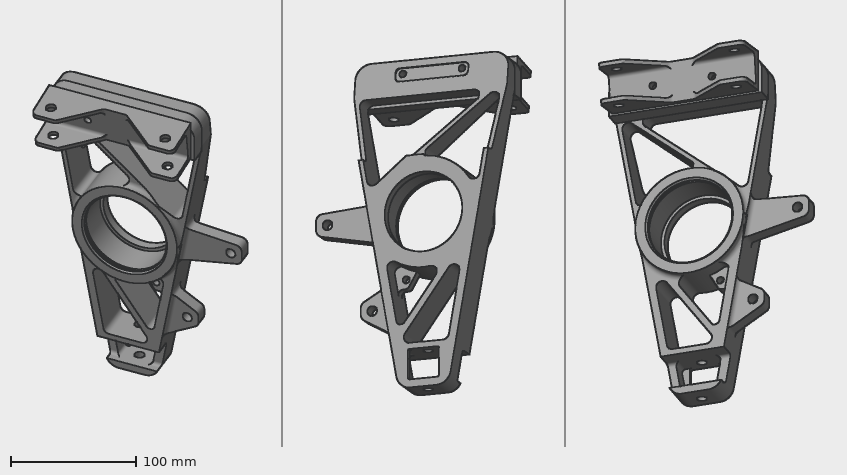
import cadquery as cq
import math


top_z = 132.5
bottom_z = -144.5
shoulder_z = 103.8
shoulder_half = 65.2
taper = math.radians(10)
upper_depth = 34.0
lower_depth = 33.0
head_radius = 13.5
foot_radius = 12.0
fillet = 4.0

ledge_z = 47.5
ledge_depth = 7.5
top_setback = 21.0

ring_radius = 92.0 / 2
ring_depth = 40.0
bore_radius = 72.0 / 2
groove_radius = 75.0 / 2
groove_front = 37.5
groove_back = 34.5
shoulder_bore_radius = 66.0 / 2
shoulder_thickness = 8.0

upper_wall = 4.0
lower_left_wall = 7.0
lower_right_wall = 8.0
upper_web_angle = math.radians(39.5)
upper_web = 4.0
upper_opening_top = 101.5
corner_radius = 5.0
lower_web_angle = math.radians(54)
lower_web = 6.0
lower_web_x = 15.7
lower_web_z = -99.5
lower_opening_bottom = -107.7

recess_top = -112.7
recess_bottom = -138.0
leg_depth = 17.3
lip_depth = 25.7
recess_radius = 3.0
back_plate = 4.0
window_half = 13.1
window_radius = 1.5
foot_hole_diameter = 8.0
foot_hole_y = -11.0

ear_front = 29.6
ear_back = 18.0
ear_hole_diameter = 8.0
ear_corner_radius = 6.0
ear_overlap = 2.8
upper_ear_x = 98.2
upper_ear_tip = (11.0, -6.5)
upper_ear_root = (14.5, -17.5)
upper_ear_hole = (88.5, 1.7)
lower_ear_x = 60.0
lower_ear_tip = (-66.5, -78.5)
lower_ear_root = (-53.7, -96.0)
lower_ear_hole = (50.3, -73.0)
tab_front = 25.7
tab_thickness = 8.0
tab_bottom = -58.0
tab_root_radius = 4.0
tab_hole_diameter = 6.0
tab_hole_x = 21.3
tab_hole_z = -50.0
tab_left_x = 19.9
tab_slant = math.radians(60)
tab_height = 22.5

spacer_thickness = 14.3
spacer_bottom = 98.7
mount_depth = upper_depth + spacer_thickness
bracket_top = 135.0
bracket_height = 34.0
bracket_half = 62.0
tilt = 8.5
arm_length = 35.5
arm_thickness = 3.5
web_thickness = 9.8
bracket_radius = 3.0
arm_corner_radius = 5.0
notch_inner_half = 9.8
notch_outer_half = 40.8
arm_hole_diameter = 8.0
arm_hole_x = 50.0
arm_hole_reach = 23.5
screw_diameter = 6.0
screw_x = 25.2
screw_drop = 17.5
slot_drop = 18.7
slot_half = 31.0
slot_height = 11.7
slot_floor = 25.5


def prism(points, front, back=0.0):
    """Solid over an XZ outline, from depth `back` to depth `front` (depth is -Y)."""
    return cq.Workplane("XZ", origin=(0, -back, 0)).polyline(points).close().extrude(front - back)


def block(x_half, front, back, z_low, z_high):
    """Box centred on X = 0 between two depths."""
    return prism([(-x_half, z_low), (x_half, z_low), (x_half, z_high), (-x_half, z_high)], front, back)


def rod(x, z, radius, front, back=0.0):
    """Cylinder along Y between two depths."""
    return cq.Workplane("XZ", origin=(0, -back, 0)).center(x, z).circle(radius).extrude(front - back)


def half_width(z):
    """Half width of the tapered part of the upright."""
    return shoulder_half - (shoulder_z - z) * math.tan(taper)


def wall_web_corner(side, wall, angle, web_x, web_z):
    """Where a side wall's inner face meets a web edge that falls to the right through (web_x, web_z)."""
    fall = math.tan(angle)
    inner_x = side * (half_width(0) - wall)
    lean = side * math.tan(taper)
    z = (web_z - fall * (inner_x - web_x)) / (1 + fall * lean)
    return (inner_x + lean * z, z)


def upright_outline(depth):
    """Plain slab with the whole outer outline of the upright."""
    body = prism(
        [
            (-half_width(bottom_z), bottom_z),
            (half_width(bottom_z), bottom_z),
            (shoulder_half, shoulder_z),
            (shoulder_half, top_z),
            (-shoulder_half, top_z),
            (-shoulder_half, shoulder_z),
        ],
        depth,
    )
    body = body.edges("|Y and >Z").fillet(head_radius)
    return body.edges("|Y and <Z").fillet(foot_radius)


def add_ear(body, end_x, tip, root, hole):
    """Flat lug on the +X side with a filleted root; tip and root each hold a top and a bottom Z."""
    top_root_x = half_width(root[0])
    low_root_x = half_width(root[1])
    ear = prism(
        [
            (top_root_x - ear_overlap, root[0]),
            (top_root_x, root[0]),
            (end_x, tip[0]),
            (end_x, tip[1]),
            (low_root_x, root[1]),
            (low_root_x - ear_overlap, root[1]),
        ],
        ear_front,
        ear_back,
    )
    ear = ear.edges("|Y and >X").fillet(ear_corner_radius)
    body = body.union(ear)
    tolerance = 0.03

    def at_root(edge):
        middle = edge.Center()
        on_side = abs(middle.x - half_width(middle.z)) < tolerance
        within_height = root[1] - tolerance < middle.z < root[0] + tolerance
        within_depth = ear_back - tolerance < -middle.y < ear_front + tolerance
        return on_side and within_height and within_depth

    root_edges = [edge for edge in body.edges().vals() if at_root(edge)]
    body = body.newObject(root_edges).fillet(fillet)
    return body.cut(rod(*hole, ear_hole_diameter / 2, ear_front, ear_back))


def rear_slope():
    """Material removed behind the part above the ledge."""
    beyond = 14
    return (
        cq.Workplane("YZ", origin=(-shoulder_half, 0, 0))
        .polyline([(beyond, ledge_z), (-ledge_depth, ledge_z), (-top_setback, top_z), (beyond, top_z)])
        .close()
        .extrude(2 * shoulder_half)
        .edges(cq.NearestToPointSelector((0, -ledge_depth, ledge_z)))
        .fillet(fillet)
    )


def foot_recess():
    """Front cut-back that leaves the clevis legs and the bottom lip."""
    recess = block(shoulder_half, upper_depth, leg_depth, recess_bottom, recess_top)
    recess = recess.edges("|X and >Y").fillet(recess_radius)
    return recess.union(block(shoulder_half, upper_depth, lip_depth, bottom_z, recess_bottom))


def foot_pocket():
    """Tapered pocket between the legs, with a window through its back plate."""
    low = half_width(recess_bottom)
    high = half_width(recess_top)
    outline = [
        (lower_left_wall - low, recess_bottom),
        (low - lower_right_wall, recess_bottom),
        (high - lower_right_wall, recess_top),
        (lower_left_wall - high, recess_top),
    ]
    pocket = prism(outline, upper_depth, back_plate).edges("|Y").fillet(recess_radius)
    window = block(window_half, upper_depth, 0, recess_bottom, recess_top)
    return pocket.union(window.edges("|Y").fillet(window_radius))


def ring_fillet(depth, z_low, z_high):
    """Concave blend between the ring and one front face of the upright."""
    blend = rod(0, 0, ring_radius + fillet, depth + fillet, depth)
    torus = cq.Workplane(cq.Solid.makeTorus(
        ring_radius + fillet, fillet, cq.Vector(0, -depth - fillet, 0), cq.Vector(0, 1, 0)))
    half = block(shoulder_half, ring_depth, 0, z_low, z_high)
    return blend.cut(torus).intersect(half).intersect(upright_outline(ring_depth))


def upper_left_opening():
    """Triangle between the left wall, the upper web and the ring."""
    web_edge = ring_radius - upper_web
    foot = (web_edge * math.sin(upper_web_angle), web_edge * math.cos(upper_web_angle))
    apex = wall_web_corner(-1, upper_wall, upper_web_angle, *foot)
    opening = prism([apex, foot, (upper_wall - half_width(0), 0)], ring_depth)
    return opening.cut(rod(0, 0, ring_radius, ring_depth)).edges("|Y").fillet(corner_radius)


def upper_right_opening():
    """Triangle under the head, whose sloping edge is tangent to the ring."""
    foot = (ring_radius * math.sin(upper_web_angle), ring_radius * math.cos(upper_web_angle))
    corner = wall_web_corner(1, upper_wall, upper_web_angle, *foot)
    top_left_x = foot[0] - (upper_opening_top - foot[1]) / math.tan(upper_web_angle)
    top_right = (half_width(upper_opening_top) - upper_wall, upper_opening_top)
    opening = prism([(top_left_x, upper_opening_top), corner, top_right], ring_depth)
    return opening.edges("|Y").fillet(corner_radius)


def lower_left_opening():
    """Triangle between the left wall, the lower web and the cross bar over the foot."""
    apex = wall_web_corner(-1, lower_left_wall, lower_web_angle, lower_web_x, lower_web_z)
    low_right_x = lower_web_x + (lower_web_z - lower_opening_bottom) / math.tan(lower_web_angle)
    low_left_x = lower_left_wall - half_width(lower_opening_bottom)
    outline = [apex, (low_right_x, lower_opening_bottom), (low_left_x, lower_opening_bottom)]
    return prism(outline, ring_depth).edges("|Y").fillet(corner_radius)


def lower_right_opening():
    """Triangle between the lower web, the right wall and the ring."""
    web_z = lower_web_z + lower_web / math.cos(lower_web_angle)
    apex = wall_web_corner(1, lower_right_wall, lower_web_angle, lower_web_x, web_z)
    inside_z = -28.0
    web_top_x = lower_web_x - (inside_z - web_z) / math.tan(lower_web_angle)
    outline = [apex, (half_width(inside_z) - lower_right_wall, inside_z), (web_top_x, inside_z)]
    opening = prism(outline, ring_depth).cut(rod(0, 0, ring_radius, ring_depth))
    opening = opening.edges("|Y and (not <Z)").fillet(corner_radius)
    return opening.edges("<Z").fillet(fillet)


def mouth_chamfer():
    """45 degree cone that widens the bore to the groove diameter at the ring face."""
    length = groove_radius - bore_radius
    cone = cq.Solid.makeCone(
        groove_radius, bore_radius, length, cq.Vector(0, -ring_depth, 0), cq.Vector(0, 1, 0))
    return cq.Workplane(cone)


def sensor_tab():
    """Tab with a small hole, in the corner between the ring and the right wall."""
    right_x = half_width(tab_bottom) - lower_right_wall / 2
    outline = [
        (tab_left_x, tab_bottom),
        (right_x, tab_bottom),
        (right_x, tab_bottom + tab_height),
        (tab_left_x - tab_height / math.tan(tab_slant), tab_bottom + tab_height),
    ]
    tab = prism(outline, tab_front, tab_front - tab_thickness)
    return tab.edges("|Y").edges("<Z").edges("<X").fillet(fillet)


def place_on_bracket(body):
    """Move a body from the bracket's own frame: X across, -Y along the arms, top arm face at Z = 0."""
    return body.rotate((0, 0, 0), (1, 0, 0), tilt).translate((0, -mount_depth, bracket_top))


def screw_holes():
    """Screw holes square to the bracket web, through all three bodies."""
    left, right = (
        rod(side * screw_x, -screw_drop, screw_diameter / 2, arm_length, -mount_depth) for side in (-1, 1))
    holes = left.union(right)
    return place_on_bracket(holes)


def screw_slot():
    """Clearance slot for the screw ends, sunk into the rear slope along the screw axes."""
    slot_top = slot_height / 2 - slot_drop
    slot = block(slot_half, -slot_floor, -mount_depth, slot_top - slot_height, slot_top)
    return place_on_bracket(slot.edges("|Y").fillet(fillet))


def make_upright():
    """Webbed upright with its bearing ring, ears, sensor tab and foot clevis."""
    body = upright_outline(upper_depth)
    body = add_ear(body, upper_ear_x, upper_ear_tip, upper_ear_root, upper_ear_hole)
    body = add_ear(body, lower_ear_x, lower_ear_tip, lower_ear_root, lower_ear_hole)

    body = body.cut(block(shoulder_half, upper_depth, lower_depth, bottom_z, 0))
    body = body.cut(rear_slope())
    body = body.cut(foot_recess())
    body = body.cut(foot_pocket())

    body = body.union(ring_fillet(upper_depth, 0, top_z))
    body = body.union(ring_fillet(lower_depth, bottom_z, 0))
    body = body.union(rod(0, 0, ring_radius, ring_depth))

    body = body.cut(upper_left_opening())
    body = body.cut(upper_right_opening())
    body = body.cut(lower_left_opening())
    body = body.cut(lower_right_opening())
    body = body.union(sensor_tab())
    tab_root = (half_width(tab_bottom) - lower_right_wall, tab_thickness / 2 - tab_front, tab_bottom)
    body = body.edges(cq.NearestToPointSelector(tab_root)).fillet(tab_root_radius)
    body = body.cut(rod(tab_hole_x, tab_hole_z, tab_hole_diameter / 2, tab_front))

    body = body.cut(rod(0, 0, shoulder_bore_radius, ring_depth))
    body = body.cut(rod(0, 0, bore_radius, ring_depth, shoulder_thickness))
    body = body.cut(rod(0, 0, groove_radius, groove_front, groove_back))
    body = body.cut(mouth_chamfer())

    foot_hole = (
        cq.Workplane("XY", origin=(0, foot_hole_y, bottom_z))
        .circle(foot_hole_diameter / 2)
        .extrude(lower_opening_bottom - bottom_z)
    )
    body = body.cut(foot_hole)
    return body.cut(screw_slot()).cut(screw_holes())


def make_spacer():
    """Plate between the upright's head and the bracket."""
    spacer = block(shoulder_half, mount_depth, upper_depth, spacer_bottom, top_z)
    return spacer.edges("|Y and >Z").fillet(head_radius).cut(screw_holes())


def make_bracket():
    """Channel with two arms, tilted so that its back trims to the vertical mounting face."""
    body = (
        cq.Workplane("XY", origin=(0, 0, -bracket_height))
        .polyline([
            (-bracket_half, 0),
            (-bracket_half, -arm_length),
            (-notch_outer_half, -arm_length),
            (-notch_inner_half, -web_thickness),
            (notch_inner_half, -web_thickness),
            (notch_outer_half, -arm_length),
            (bracket_half, -arm_length),
            (bracket_half, 0),
        ])
        .close()
        .extrude(bracket_height)
    )
    body = body.edges("|Z").edges("<Y").edges("<X or >X").fillet(arm_corner_radius)
    for corner_x, corner_y in ((notch_inner_half, -web_thickness), (notch_outer_half, -arm_length)):
        for side in (-1, 1):
            corner = (side * corner_x, corner_y, -bracket_height / 2)
            body = body.edges(cq.NearestToPointSelector(corner)).fillet(fillet)
    gap = block(bracket_half, arm_length, web_thickness, arm_thickness - bracket_height, -arm_thickness)
    body = body.cut(gap.edges("|X and >Y").fillet(bracket_radius))
    arm_holes = (
        cq.Workplane("XY", origin=(0, -arm_hole_reach, -bracket_height))
        .pushPoints([(-arm_hole_x, 0), (arm_hole_x, 0)])
        .circle(arm_hole_diameter / 2)
        .extrude(bracket_height)
    )
    body = place_on_bracket(body.cut(arm_holes))
    behind_mount = block(bracket_half, mount_depth, 0, spacer_bottom, bracket_top)
    return body.cut(behind_mount).cut(screw_holes())


upright = make_upright()
spacer = make_spacer()
bracket = make_bracket()
result = cq.Compound.makeCompound([upright.val(), spacer.val(), bracket.val()])